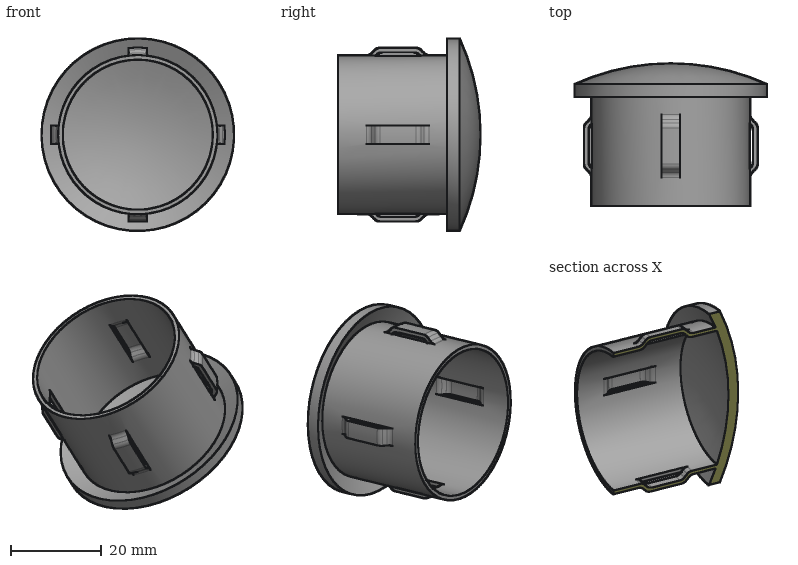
import cadquery as cq
import math

CAP_RADIUS = 21.2
RIM_HEIGHT = 2.85
DOME_RISE = 4.62
SLEEVE_RADIUS = 17.5
SLEEVE_LENGTH = 23.95
WALL = 1.0

CLIP_COUNT = 4
CLIP_WIDTH = 4.03
CLIP_LENGTH = 13.8
CLIP_TOP = -3.85
CLIP_RAMP = 0.7
BEND_RADIUS = 1.55
BEND_ANGLE = 45.0

SEAM_ANGLE = 180 / CLIP_COUNT

sleeve_bore = SLEEVE_RADIUS - WALL

dome_radius = (CAP_RADIUS**2 + DOME_RISE**2) / (2 * DOME_RISE)
dome_center = RIM_HEIGHT + DOME_RISE - dome_radius
hollow_radius = math.hypot(CAP_RADIUS, dome_center)


def sphere_height(sphere_radius, r):
    """Y of a dome sphere at distance r from the axis."""
    return dome_center + math.sqrt(sphere_radius**2 - r**2)


def turn_about_axis(body, angle):
    """Turn a body about the Y axis."""
    return body.rotate((0, 0, 0), (0, 1, 0), angle)


def revolve_about_axis(section):
    """Revolve a closed section around the Y axis, with its seam clear of the clips."""
    return turn_about_axis(section.revolve(360, (0, 0, 0), (0, 1, 0)), SEAM_ANGLE)


def make_cap():
    """Domed shell with a cylindrical rim."""
    mid_radius = CAP_RADIUS / 2
    shell_section = (
        cq.Workplane("XY")
        .moveTo(0, sphere_height(hollow_radius, 0))
        .threePointArc((mid_radius, sphere_height(hollow_radius, mid_radius)), (CAP_RADIUS, 0))
        .lineTo(CAP_RADIUS, RIM_HEIGHT)
        .threePointArc(
            (mid_radius, sphere_height(dome_radius, mid_radius)),
            (0, RIM_HEIGHT + DOME_RISE),
        )
        .close()
    )
    return revolve_about_axis(shell_section)


def make_sleeve():
    """Open tube whose closed end follows the hollow of the dome and fuses into the shell."""
    joint_radius = (hollow_radius + dome_radius) / 2
    joint_middle = (sleeve_bore + SLEEVE_RADIUS) / 2
    wall_section = (
        cq.Workplane("XY")
        .moveTo(sleeve_bore, -SLEEVE_LENGTH)
        .lineTo(SLEEVE_RADIUS, -SLEEVE_LENGTH)
        .lineTo(SLEEVE_RADIUS, sphere_height(joint_radius, SLEEVE_RADIUS))
        .threePointArc(
            (joint_middle, sphere_height(joint_radius, joint_middle)),
            (sleeve_bore, sphere_height(joint_radius, sleeve_bore)),
        )
        .close()
    )
    return revolve_about_axis(wall_section)


def clip_face(base_radius, end_inset):
    """Points (r, y) along one face of the clip, from its rim end to its open end.

    end_inset is how far the bends start inside either end of the clip. Arcs come as
    (start, middle, end): base bend, crest bend, then the same two mirrored.
    """
    angle = math.radians(BEND_ANGLE)
    clip_rise = 2 * BEND_RADIUS * (1 - math.cos(angle)) + CLIP_RAMP * math.tan(angle)
    crest_start = 2 * BEND_RADIUS * math.sin(angle) + CLIP_RAMP
    base_y = CLIP_TOP - end_inset
    crest_y = base_y - crest_start

    def bend_offset(a):
        return BEND_RADIUS * (1 - math.cos(a)), BEND_RADIUS * math.sin(a)

    half = []
    for a in (0, angle / 2, angle):
        rise, run = bend_offset(a)
        half.append((base_radius + rise, base_y - run))
    for a in (angle, angle / 2, 0):
        rise, run = bend_offset(a)
        half.append((base_radius + clip_rise - rise, crest_y + run))
    mirror_sum = 2 * CLIP_TOP - CLIP_LENGTH
    return half + [(r, mirror_sum - y) for r, y in reversed(half)]


def trace_face(profile, points):
    """Follow a clip face from its first point: bends as arcs, joined by straight runs."""
    for i in range(0, len(points), 3):
        if i > 0:
            profile = profile.lineTo(*points[i])
        profile = profile.threePointArc(points[i + 1], points[i + 2])
    return profile


def clip_segment(face_points, root_radius):
    """Solid on the +X side between root_radius and a clip face, as wide as the clip."""
    first = face_points[0]
    last = face_points[-1]
    profile = cq.Workplane("XY").moveTo(root_radius, first[1]).lineTo(*first)
    profile = trace_face(profile, face_points).lineTo(root_radius, last[1]).close()
    width_slab = cq.Workplane("XY").box(
        CAP_RADIUS, 2 * SLEEVE_LENGTH, CLIP_WIDTH, centered=(False, True, True)
    )
    return revolve_about_axis(profile).intersect(width_slab)


hollow_inset = WALL * math.tan(math.radians(BEND_ANGLE / 2))
bump = clip_segment(clip_face(SLEEVE_RADIUS, 0), SLEEVE_RADIUS - WALL / 2)
hollow = clip_segment(clip_face(sleeve_bore, hollow_inset), sleeve_bore - WALL)

result = make_cap().union(make_sleeve())
for i in range(CLIP_COUNT):
    turn = i * 360 / CLIP_COUNT
    result = result.union(turn_about_axis(bump, turn))
    result = result.cut(turn_about_axis(hollow, turn))